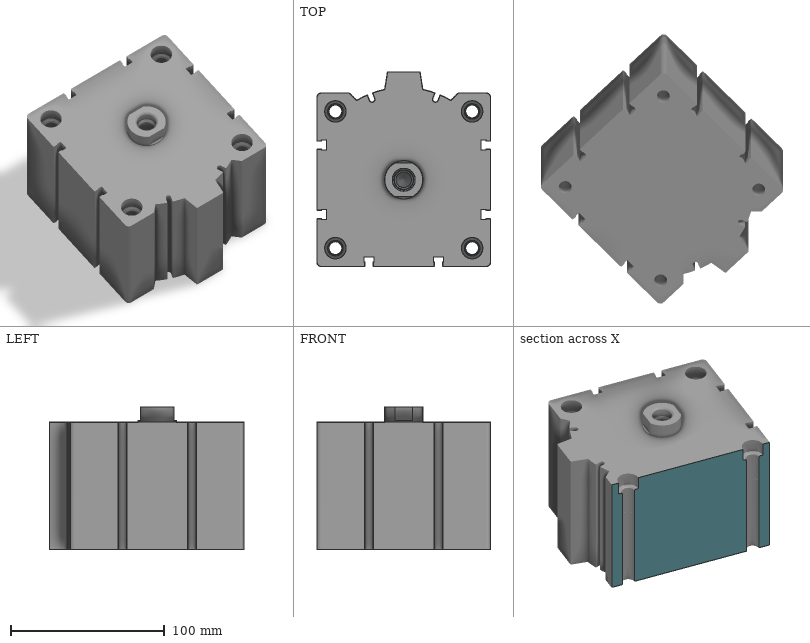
import cadquery as cq
import math

BODY_WIDTH = 113.0
BODY_HEIGHT = 83.0
CORNER_RADIUS = 2.9
HALF_WIDTH = BODY_WIDTH / 2

RAIL_REACH = 70.2
RAIL_TOP_WIDTH = 21.3
RAIL_BASE_WIDTH = 24.8
RAIL_EDGE_RADIUS = 0.5
SHOULDER_RADIUS = 60.0
NOTCH_EDGE_X = 35.5

GROOVE_WIDTH = 3.5
GROOVE_DEPTH = 5.6
GROOVE_ANGLE = 21.5

SLOT_OFFSET = 22.5
SLOT_MOUTH_WIDTH = 5.3
SLOT_MOUTH_CHAMFER = 0.32
SLOT_LIP = 2.9
SLOT_WIDTH = 6.3
SLOT_DEPTH = 6.2

HOLE_PITCH = 89.0
COUNTERBORE_DIAMETER = 14.0
COUNTERBORE_DEPTH = 8.7
COUNTERSINK_DIAMETER = 10.1
THREAD_DIAMETER = 8.5
THREAD_DEPTH = 20.3
HOLE_DIAMETER = 8.4

ROD_DIAMETER = 25.0
ROD_PROTRUSION = 10.0
ROD_SEAT_DEPTH = 50.7
ROD_CHAMFER = 0.1
FLAT_DISTANCE = 22.0
FLAT_HEIGHT = 9.0

ENTRY_DIAMETER = 15.0
BORE_DIAMETER = 13.0
BORE_DEPTH = 6.3
PILOT_ENTRY_DIAMETER = 12.3
PILOT_DIAMETER = 10.1
PILOT_DEPTH = 31.7
DRILL_POINT_ANGLE = 118.0


def box(x_size, y_size, z_min, z_max, x_center=0.0, y_center=0.0):
    """Upright box centred on a point in plan."""
    return (
        cq.Workplane("XY", origin=(x_center, y_center, z_min))
        .rect(x_size, y_size)
        .extrude(z_max - z_min)
    )


def revolve_profile(points):
    """Solid of revolution about Z from (radius, height) points."""
    return cq.Workplane("XZ").polyline(points).close().revolve(360, (0, 0, 0), (0, 1, 0))


def housing_block():
    """Square block with rounded vertical corners."""
    return box(BODY_WIDTH, BODY_WIDTH, 0, BODY_HEIGHT).edges("|Z").fillet(CORNER_RADIUS)


def shoulder_y(x):
    """Height of the shoulder arc above the X axis."""
    return math.sqrt(SHOULDER_RADIUS**2 - x**2)


def notch_opening():
    """Region cleared from the +Y side of the block, from one notch wall to the other."""
    wall_shift = HALF_WIDTH - NOTCH_EDGE_X
    notch_x = (math.sqrt(2 * SHOULDER_RADIUS**2 - wall_shift**2) - wall_shift) / 2
    notch_y = notch_x + wall_shift
    outer_x = RAIL_REACH - wall_shift
    return (
        cq.Workplane("XY")
        .moveTo(-outer_x, RAIL_REACH)
        .lineTo(-notch_x, notch_y)
        .lineTo(notch_x, notch_y)
        .lineTo(outer_x, RAIL_REACH)
        .close()
        .extrude(BODY_HEIGHT)
    ), notch_x, notch_y


def shoulder(notch_x, notch_y):
    """Round segment that fills the opening up to the shoulder arc."""
    return (
        cq.Workplane("XY")
        .moveTo(-notch_x, notch_y)
        .threePointArc((0, SHOULDER_RADIUS), (notch_x, notch_y))
        .close()
        .extrude(BODY_HEIGHT)
    )


def rail_nose(notch_y):
    """Tapered nose, rooted inside the shoulder."""
    base_x = RAIL_BASE_WIDTH / 2
    base_y = shoulder_y(base_x)
    nose = (
        cq.Workplane("XY")
        .polyline([
            (-base_x, notch_y),
            (base_x, notch_y),
            (base_x, base_y),
            (RAIL_TOP_WIDTH / 2, RAIL_REACH),
            (-RAIL_TOP_WIDTH / 2, RAIL_REACH),
            (-base_x, base_y),
        ])
        .close()
        .extrude(BODY_HEIGHT)
    )
    return nose.faces(">Y").edges("|Z").fillet(RAIL_EDGE_RADIUS)


def shoulder_groove(angle):
    """Radial U-shaped groove, turned from the +Y axis by the given angle."""
    bottom_center = SHOULDER_RADIUS - GROOVE_DEPTH + GROOVE_WIDTH / 2
    mouth = box(GROOVE_WIDTH, 2 * GROOVE_DEPTH, 0, BODY_HEIGHT, 0, bottom_center + GROOVE_DEPTH)
    round_bottom = (
        cq.Workplane("XY", origin=(0, bottom_center, 0))
        .circle(GROOVE_WIDTH / 2)
        .extrude(BODY_HEIGHT)
    )
    return mouth.union(round_bottom).rotate((0, 0, 0), (0, 0, 1), angle)


def t_slot():
    """T-slot opening towards -Y, its mouth in the XZ plane, with chamfered mouth edges."""
    half_mouth = SLOT_MOUTH_WIDTH / 2
    half_entry = half_mouth + SLOT_MOUTH_CHAMFER
    half_chamber = SLOT_WIDTH / 2
    right_side = [
        (half_entry, 0),
        (half_mouth, SLOT_MOUTH_CHAMFER),
        (half_mouth, SLOT_LIP),
        (half_chamber, SLOT_LIP),
        (half_chamber, SLOT_DEPTH),
    ]
    left_side = [(-x, y) for x, y in reversed(right_side)]
    return cq.Workplane("XY").polyline(right_side + left_side).close().extrude(BODY_HEIGHT)


def mounting_hole():
    """Stepped through hole on the Z axis, counterbored from the top."""
    thread_radius = THREAD_DIAMETER / 2
    sink_radius = COUNTERSINK_DIAMETER / 2
    seat_z = BODY_HEIGHT - COUNTERBORE_DEPTH
    thread_end_z = seat_z - THREAD_DEPTH
    return revolve_profile([
        (0, 0),
        (HOLE_DIAMETER / 2, 0),
        (HOLE_DIAMETER / 2, thread_end_z),
        (thread_radius, thread_end_z),
        (thread_radius, seat_z - (sink_radius - thread_radius)),
        (sink_radius, seat_z),
        (COUNTERBORE_DIAMETER / 2, seat_z),
        (COUNTERBORE_DIAMETER / 2, BODY_HEIGHT),
        (0, BODY_HEIGHT),
    ])


def rod_blank():
    """Plain round rod, seated in the housing and standing out at the top."""
    return (
        cq.Workplane("XY", origin=(0, 0, BODY_HEIGHT - ROD_SEAT_DEPTH))
        .circle(ROD_DIAMETER / 2)
        .extrude(ROD_SEAT_DEPTH + ROD_PROTRUSION)
    )


def rod_end_hole():
    """Chamfered bore, then a countersunk pilot hole with a drill point."""
    top_z = BODY_HEIGHT + ROD_PROTRUSION
    entry_radius = ENTRY_DIAMETER / 2
    bore_radius = BORE_DIAMETER / 2
    sink_radius = PILOT_ENTRY_DIAMETER / 2
    pilot_radius = PILOT_DIAMETER / 2
    ledge_z = top_z - BORE_DEPTH
    pilot_end_z = top_z - PILOT_DEPTH
    tip_length = pilot_radius / math.tan(math.radians(DRILL_POINT_ANGLE / 2))
    return revolve_profile([
        (0, pilot_end_z - tip_length),
        (pilot_radius, pilot_end_z),
        (pilot_radius, ledge_z - (sink_radius - pilot_radius)),
        (sink_radius, ledge_z),
        (bore_radius, ledge_z),
        (bore_radius, top_z - (entry_radius - bore_radius)),
        (entry_radius, top_z),
        (0, top_z),
    ])


def make_housing():
    """Cylinder housing with rail, slots, mounting holes and the rod seat."""
    opening, notch_x, notch_y = notch_opening()
    housing = housing_block().cut(opening)
    housing = housing.union(shoulder(notch_x, notch_y)).union(rail_nose(notch_y))
    for angle in (-GROOVE_ANGLE, GROOVE_ANGLE):
        housing = housing.cut(shoulder_groove(angle))
    for side_angle in (-90, 0, 90):
        for x in (-SLOT_OFFSET, SLOT_OFFSET):
            slot = t_slot().translate((x, -HALF_WIDTH, 0))
            housing = housing.cut(slot.rotate((0, 0, 0), (0, 0, 1), side_angle))
    for x in (-HOLE_PITCH / 2, HOLE_PITCH / 2):
        for y in (-HOLE_PITCH / 2, HOLE_PITCH / 2):
            housing = housing.cut(mounting_hole().translate((x, y, 0)))
    return housing.cut(rod_blank())


def make_rod():
    """Piston rod with chamfered end, two wrench flats and a stepped end hole."""
    top_z = BODY_HEIGHT + ROD_PROTRUSION
    rod = rod_blank().faces(">Z").chamfer(ROD_CHAMFER)
    flat_cut = ROD_DIAMETER - FLAT_DISTANCE
    for side in (-1, 1):
        y = side * (FLAT_DISTANCE + flat_cut) / 2
        rod = rod.cut(box(ROD_DIAMETER, flat_cut, top_z - FLAT_HEIGHT, top_z, 0, y))
    return rod.cut(rod_end_hole())


housing = make_housing()
rod = make_rod()

result = cq.Compound.makeCompound([housing.val(), rod.val()])